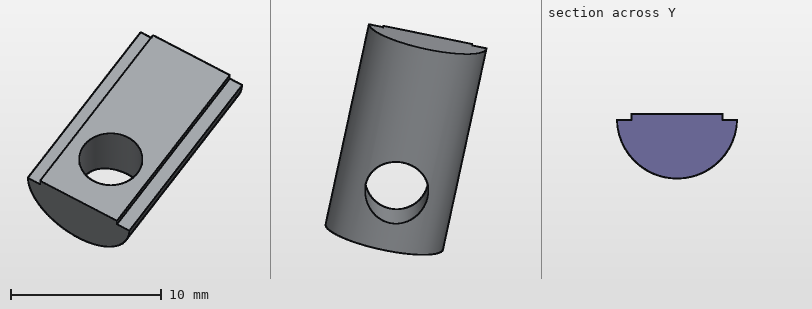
import cadquery as cq

width = 8.0
length = 14.0
height = 4.3

land_width = 6.05
land_height = 0.4

hole_diameter = 4.2
hole_from_front = 4.0

shoulder_z = height - land_height
half_width = width / 2
half_land = land_width / 2


def make_body():
    """Round-bottomed bar with a stepped top, centred along Y."""
    profile = (
        cq.Workplane("XZ")
        .moveTo(-half_width, shoulder_z)
        .threePointArc((0, 0), (half_width, shoulder_z))
        .lineTo(half_land, shoulder_z)
        .lineTo(half_land, height)
        .lineTo(-half_land, height)
        .lineTo(-half_land, shoulder_z)
        .close()
    )
    return profile.extrude(length / 2, both=True)


def make_hole():
    """Cylinder that cuts the hole through the full height."""
    hole_y = hole_from_front - length / 2
    return cq.Workplane("XY").center(0, hole_y).circle(hole_diameter / 2).extrude(height)


result = make_body().cut(make_hole())